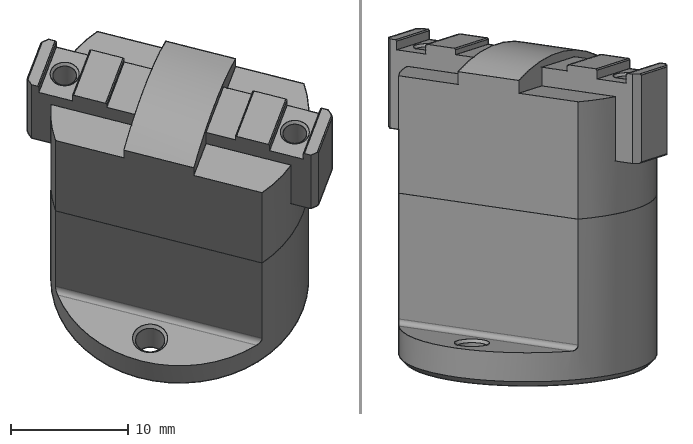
import cadquery as cq

body_diameter = 22.0
body_width = 12.0

seam_height = 14.47
flange_height = 3.01
foot_chamfer = 0.5
flat_fillet = 0.5
bolt_offset = 8.5
bolt_diameter = 2.47
bolt_rim_diameter = 3.0

cap_top = 24.7
bridge_length = 6.25
bridge_side_height = 25.82
bridge_crown_height = 27.15

bar_length = 26.0
bar_width = 5.0
bar_bottom = 19.1
bar_top = 26.88
bar_middle_height = 26.34
bar_seat_height = 26.0
lip_inner_x = 11.78
pad_outer_x = 8.8
pad_inner_x = 5.73
bar_corner_chamfer = 0.55
bar_edge_chamfer = 0.1
screw_offset = 10.25
screw_diameter = 2.0
screw_rim_diameter = 2.47


def flatted_cylinder(bottom, top):
    """Vertical cylinder between two heights, cut to the body width by two flats."""
    height = top - bottom
    cylinder = cq.Workplane("XY").workplane(offset=bottom).circle(body_diameter / 2).extrude(height)
    slab = cq.Workplane("XY").workplane(offset=bottom).rect(body_diameter, body_width).extrude(height)
    return cylinder.intersect(slab)


def chamfered_drill(points, bottom, top, diameter, rim_diameter):
    """Vertical cutters for holes that open into a 45 degree rim at the top."""
    rim = (rim_diameter - diameter) / 2
    profile = [
        (0, bottom),
        (diameter / 2, bottom),
        (diameter / 2, top - rim),
        (rim_diameter / 2, top),
        (0, top),
    ]
    drill = cq.Workplane("XZ").polyline(profile).close().revolve(360, (0, 0), (0, 1)).val()
    return cq.Workplane("XY").pushPoints(points).eachpoint(lambda place: drill.moved(place))


def make_base():
    """Flatted column on a round flange with two bolt holes."""
    flange = cq.Workplane("XY").circle(body_diameter / 2).extrude(flange_height)
    flange = flange.faces("<Z").edges().chamfer(foot_chamfer)
    base = flange.union(flatted_cylinder(flange_height, seam_height))

    half_width = body_width / 2
    disc = cq.Workplane("XY").circle(body_diameter / 2).extrude(seam_height)
    for side in (1, -1):
        fillet = (
            cq.Workplane("YZ")
            .moveTo(side * half_width, flange_height)
            .lineTo(side * (half_width + flat_fillet), flange_height)
            .radiusArc((side * half_width, flange_height + flat_fillet), side * flat_fillet)
            .close()
            .extrude(body_diameter / 2, both=True)
        )
        base = base.union(fillet.intersect(disc))

    bolt_places = [(0, bolt_offset), (0, -bolt_offset)]
    return base.cut(chamfered_drill(bolt_places, 0, flange_height, bolt_diameter, bolt_rim_diameter))


def make_bridge():
    """Block over the middle of the cap, with a crown arched across Y."""
    half_width = body_width / 2
    return (
        cq.Workplane("YZ")
        .moveTo(-half_width, cap_top)
        .lineTo(-half_width, bridge_side_height)
        .threePointArc((0, bridge_crown_height), (half_width, bridge_side_height))
        .lineTo(half_width, cap_top)
        .close()
        .extrude(bridge_length / 2, both=True)
    )


def make_bar_blank():
    """Bar with a stepped top: end lips, screw seats, raised pads and a lower middle."""
    half_length = bar_length / 2
    right_steps = [
        (pad_inner_x, bar_middle_height),
        (pad_inner_x, bar_top),
        (pad_outer_x, bar_top),
        (pad_outer_x, bar_seat_height),
        (lip_inner_x, bar_seat_height),
        (lip_inner_x, bar_top),
        (half_length, bar_top),
        (half_length, bar_bottom),
    ]
    left_steps = [(-x, z) for x, z in reversed(right_steps)]
    bar = (
        cq.Workplane("XZ")
        .polyline(left_steps + right_steps)
        .close()
        .extrude(bar_width / 2, both=True)
    )
    bar = bar.faces("<X or >X").edges("|Z").chamfer(bar_corner_chamfer)
    cross_edges = bar.faces(">Z").edges("|Y").add(bar.faces("<Z").edges("|Y"))
    return cross_edges.chamfer(bar_edge_chamfer)


base = make_base()
bar_blank = make_bar_blank()

cap = flatted_cylinder(seam_height, cap_top).union(make_bridge()).cut(bar_blank)

screw_places = [(screw_offset, 0), (-screw_offset, 0)]
contact_bar = bar_blank.cut(
    chamfered_drill(screw_places, bar_bottom, bar_seat_height, screw_diameter, screw_rim_diameter)
)

result = cq.Compound.makeCompound([base.val(), cap.val(), contact_bar.val()])